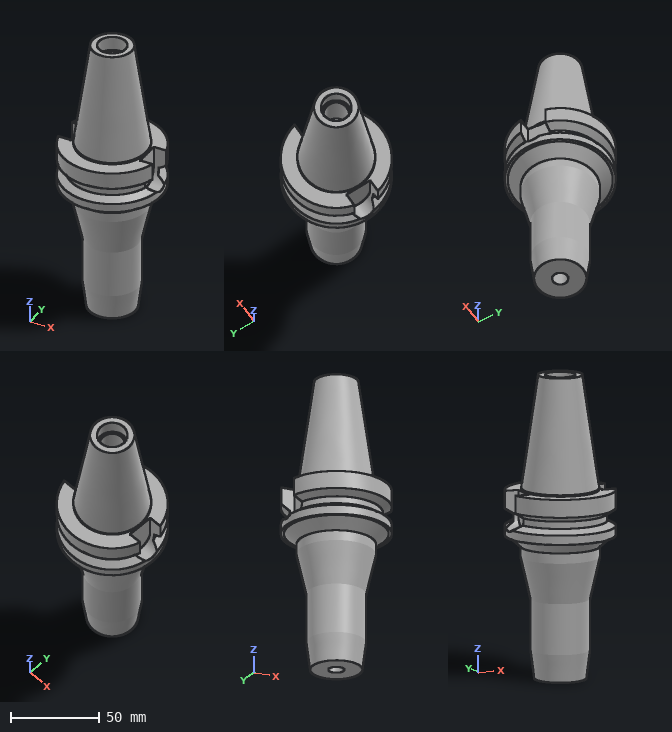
import cadquery as cq

TOTAL_LENGTH = 175.1
NOSE_TOP = 16.3
SLEEVE_TOP = 45.7
BODY_CONE_TOP = 70.0
COLLAR_TOP = 76.2
FLANGE_BOTTOM = 82.6
LOWER_RIM_TOP = 88.0
GROOVE_BOTTOM = 91.0
GROOVE_TOP = 95.3
UPPER_RIM_BOTTOM = 98.4
FLANGE_TOP = 108.7
TAPER_BOTTOM = 109.6

NOSE_RADIUS = 14.9
SLEEVE_RADIUS = 17.0
COLLAR_RADIUS = 22.6
FLANGE_CONE_RADIUS = 29.8
FLANGE_RADIUS = 31.5
GROOVE_RADIUS = 26.6
TAPER_LARGE_RADIUS = 22.2
TAPER_SMALL_RADIUS = 12.6
NECK_RADIUS = 21.9

THROUGH_RADIUS = 4.5
BORE_STEPS = [(8.5, 8.8), (7.2, 29.8), (5.8, 33.3)]

SLOT_WIDTH = 16.1
SLOT_BOTTOM = 86.7
SLOT_FLOOR = 22.5


def make_body():
    """Revolve the outer profile about Z."""
    profile = [
        (0, 0),
        (NOSE_RADIUS, 0),
        (SLEEVE_RADIUS, NOSE_TOP),
        (SLEEVE_RADIUS, SLEEVE_TOP),
        (COLLAR_RADIUS, BODY_CONE_TOP),
        (COLLAR_RADIUS, COLLAR_TOP),
        (FLANGE_CONE_RADIUS, FLANGE_BOTTOM),
        (FLANGE_RADIUS, FLANGE_BOTTOM),
        (FLANGE_RADIUS, LOWER_RIM_TOP),
        (GROOVE_RADIUS, GROOVE_BOTTOM),
        (GROOVE_RADIUS, GROOVE_TOP),
        (FLANGE_RADIUS, UPPER_RIM_BOTTOM),
        (FLANGE_RADIUS, FLANGE_TOP),
        (NECK_RADIUS, FLANGE_TOP),
        (NECK_RADIUS, TAPER_BOTTOM),
        (TAPER_LARGE_RADIUS, TAPER_BOTTOM),
        (TAPER_SMALL_RADIUS, TOTAL_LENGTH),
        (0, TOTAL_LENGTH),
    ]
    return cq.Workplane("XZ").polyline(profile).close().revolve(360, (0, 0, 0), (0, 1, 0))


def make_bore():
    """Through hole widened by coaxial counterbores from the taper end."""
    bore = cq.Workplane("XY").circle(THROUGH_RADIUS).extrude(TOTAL_LENGTH)
    for radius, depth in BORE_STEPS:
        step = cq.Workplane("XY").workplane(offset=TOTAL_LENGTH - depth).circle(radius).extrude(depth)
        bore = bore.union(step)
    return bore


def make_slot(side):
    """Round-bottomed slot, open at the flange top; side is +1 or -1 along X."""
    half_width = SLOT_WIDTH / 2
    arc_centre = SLOT_BOTTOM + half_width
    return (
        cq.Workplane("YZ", origin=(side * SLOT_FLOOR, 0, 0))
        .moveTo(-half_width, FLANGE_TOP)
        .lineTo(-half_width, arc_centre)
        .threePointArc((0, SLOT_BOTTOM), (half_width, arc_centre))
        .lineTo(half_width, FLANGE_TOP)
        .close()
        .extrude(side * FLANGE_RADIUS)
    )


result = make_body().cut(make_bore())
for side in (-1, 1):
    result = result.cut(make_slot(side))